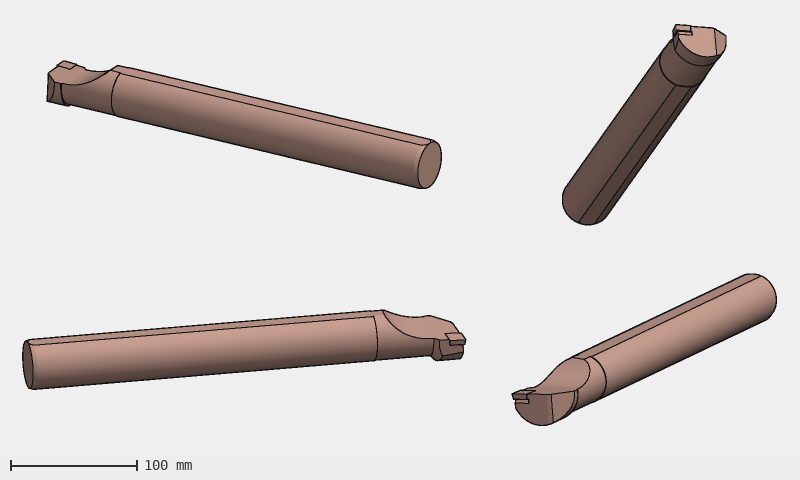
import cadquery as cq
import math

LENGTH = 350.0
SHANK_RADIUS = 20.0
SHANK_START = 70.5
FLAT_HEIGHT = 19.0
END_CHAMFER_LENGTH = 3.5
END_CHAMFER_DEPTH = 1.0
NECK_RADIUS = 19.5
NECK_START = 24.5

HEAD_RADIUS = 23.5
HEAD_CENTER_Y = HEAD_RADIUS - SHANK_RADIUS
HEAD_CENTER_Z = 0.7

RAKE_HEIGHT = 3.0
RAKE_ANGLE = 5.0
SCOOP_START = 26.2
SCOOP_RADIUS = 46.2
CUT_SIZE = 70.0

LEAD_ANGLE = 5.0
LEAD_SLOPE = math.tan(math.radians(LEAD_ANGLE))
CORNER_X = 1.5
CORNER_Y = 25.2
FACET_START_Y = -3.0
FACET_END = (5.0, -6.3)
BEVEL_END = (19.0, -20.3)

INSERT_EDGE = 13.0
INSERT_THICKNESS = 4.5
INSERT_CLEARANCE = 7.0
NOSE_RADIUS = 0.7
NOSE_Y = 27.0

RELIEF_HEIGHT = 3.0
RELIEF_DEPTH = 1.5
RELIEF_EDGE_Y = 13.3


def to_rake(body):
    """Move a body modelled with the rake plane at Z = 0 into its rolled place."""
    return body.rotate((0, 0, 0), (1, 0, 0), -RAKE_ANGLE).translate((0, 0, RAKE_HEIGHT))


def make_bar():
    """Neck and shank in one turned piece with a flat along the top and bottom."""
    bar = (
        cq.Workplane("XY")
        .moveTo(NECK_START, 0)
        .lineTo(NECK_START, NECK_RADIUS)
        .lineTo(SHANK_START, NECK_RADIUS)
        .lineTo(SHANK_START, SHANK_RADIUS)
        .lineTo(LENGTH - END_CHAMFER_LENGTH, SHANK_RADIUS)
        .lineTo(LENGTH, SHANK_RADIUS - END_CHAMFER_DEPTH)
        .lineTo(LENGTH, 0)
        .close()
        .revolve(360, (0, 0, 0), (1, 0, 0))
    )
    top_flat = cq.Workplane("XY").workplane(offset=FLAT_HEIGHT).center(LENGTH / 2, 0).rect(
        LENGTH, CUT_SIZE
    ).extrude(CUT_SIZE)
    bottom_flat = top_flat.mirror("XY").intersect(
        cq.Workplane("YZ").workplane(offset=SHANK_START).rect(2 * CUT_SIZE, 4 * CUT_SIZE).extrude(LENGTH)
    )
    return bar.cut(top_flat).cut(bottom_flat)


def make_head():
    """Head blank, trimmed by its outline and by the cone that leads to the neck."""
    round_part = (
        cq.Workplane("YZ").center(HEAD_CENTER_Y, HEAD_CENTER_Z).circle(HEAD_RADIUS).extrude(NECK_START)
    )
    straight_part = (
        cq.Workplane("YZ")
        .center(HEAD_CENTER_Y, HEAD_CENTER_Z + HEAD_RADIUS / 2)
        .rect(2 * HEAD_RADIUS, HEAD_RADIUS)
        .extrude(NECK_START)
    )
    cone_envelope = (
        cq.Workplane("XY")
        .polyline([(0, 0), (0, NECK_RADIUS + NECK_START), (NECK_START, NECK_RADIUS), (NECK_START, 0)])
        .close()
        .revolve(360, (0, 0, 0), (1, 0, 0))
    )
    facet_start_x = CORNER_X + (CORNER_Y - FACET_START_Y) * LEAD_SLOPE
    outline = [
        (CORNER_X, CORNER_Y),
        (facet_start_x, FACET_START_Y),
        FACET_END,
        BEVEL_END,
        (BEVEL_END[0], -CUT_SIZE),
        (CUT_SIZE, -CUT_SIZE),
        (CUT_SIZE, CORNER_Y - (CUT_SIZE - CORNER_X) * LEAD_SLOPE),
    ]
    outline_prism = cq.Workplane("XY").polyline(outline).close().extrude(CUT_SIZE, both=True)
    return round_part.union(straight_part).intersect(cone_envelope).intersect(to_rake(outline_prism))


def make_scoop():
    """Space above the rake plane, ending in a concave arc that rises to the flat."""
    quarter = math.radians(45)
    middle = (
        SCOOP_START + SCOOP_RADIUS * math.sin(quarter),
        SCOOP_RADIUS * (1 - math.cos(quarter)),
    )
    scoop = (
        cq.Workplane("XZ")
        .moveTo(-CUT_SIZE, 0)
        .lineTo(SCOOP_START, 0)
        .threePointArc(middle, (SCOOP_START + SCOOP_RADIUS, SCOOP_RADIUS))
        .lineTo(-CUT_SIZE, SCOOP_RADIUS)
        .close()
        .extrude(CUT_SIZE, both=True)
    )
    return to_rake(scoop)


def make_insert():
    """Rhombic insert, flush with the rake plane and narrowing downward."""
    along = INSERT_EDGE * math.cos(math.radians(LEAD_ANGLE))
    across = INSERT_EDGE * math.sin(math.radians(LEAD_ANGLE))
    nose_half_angle = math.radians(45 - LEAD_ANGLE)
    nose_setback = NOSE_RADIUS / math.sin(nose_half_angle) * math.cos(math.radians(45)) - NOSE_RADIUS
    nose_x = -nose_setback
    corner_y = NOSE_Y + nose_setback
    rhombus = [
        (nose_x, corner_y),
        (nose_x + across, corner_y - along),
        (nose_x + across + along, corner_y - along - across),
        (nose_x + along, corner_y - across),
    ]
    prism = cq.Workplane("XY").polyline(rhombus).close().extrude(-INSERT_THICKNESS, taper=INSERT_CLEARANCE)
    nose_edge = cq.selectors.NearestToPointSelector((nose_x, corner_y, -INSERT_THICKNESS / 2))
    return to_rake(prism.edges(nose_edge).fillet(NOSE_RADIUS))


def make_relief():
    """Wedge that slopes the front face back toward the insert seat."""
    seat_z = -INSERT_THICKNESS
    face_x = CORNER_X + (CORNER_Y - RELIEF_EDGE_Y) * LEAD_SLOPE
    wedge = (
        cq.Workplane("XZ", origin=(face_x, RELIEF_EDGE_Y, 0))
        .polyline([
            (-CUT_SIZE, seat_z),
            (RELIEF_DEPTH, seat_z),
            (0, seat_z - RELIEF_HEIGHT),
            (-CUT_SIZE, seat_z - RELIEF_HEIGHT),
        ])
        .close()
        .extrude(-CUT_SIZE)
        .rotate((face_x, RELIEF_EDGE_Y, 0), (face_x, RELIEF_EDGE_Y, 1), LEAD_ANGLE)
    )
    return to_rake(wedge)


insert = make_insert()
holder = make_bar().union(make_head()).cut(make_scoop()).cut(make_relief()).cut(insert)

result = cq.Compound.makeCompound([*holder.vals(), insert.val()])